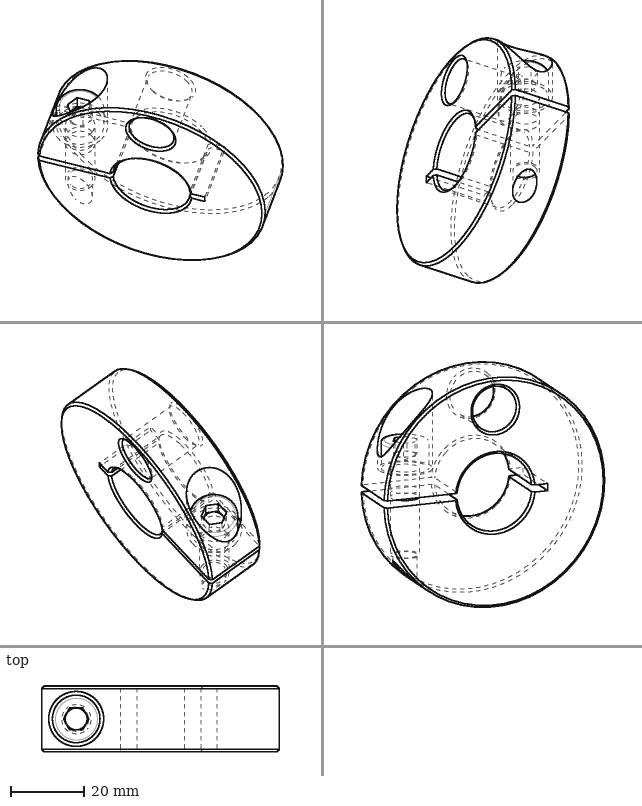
import cadquery as cq

collar_diameter = 65.0
collar_width = 18.0
bore_diameter = 22.0
edge_chamfer = 0.7

face_hole_diameter = 12.9
face_hole_height = 23.6

slit_width = 2.0
slit_end_x = 15.4

screw_x = -23.0
shank_diameter = 8.0
head_diameter = 13.0
head_height = 8.0
head_fillet = 0.8
head_top_z = 15.15
head_seat_z = head_top_z - head_height
shank_end_z = -17.4
counterbore_diameter = 15.0
pilot_diameter = 6.6

socket_across_flats = 6.0
socket_across_corners = socket_across_flats / 0.75 ** 0.5
socket_depth = 4.0
socket_cone_depth = 1.6


def cylinder_z(diameter, bottom_z, top_z):
    """Upright cylinder on the screw axis."""
    return (
        cq.Workplane("XY", origin=(screw_x, 0, bottom_z))
        .circle(diameter / 2)
        .extrude(top_z - bottom_z)
    )


def make_ring():
    """Chamfered ring with the bore and the round hole through its faces."""
    return (
        cq.Workplane("XZ", origin=(0, collar_width / 2, 0))
        .circle(collar_diameter / 2)
        .circle(bore_diameter / 2)
        .pushPoints([(0, face_hole_height)])
        .circle(face_hole_diameter / 2)
        .extrude(collar_width)
        .faces("<Y or >Y")
        .chamfer(edge_chamfer)
    )


def make_collar():
    """Ring cut by the slit and by the stepped screw hole."""
    slit_start_x = -collar_diameter / 2
    slit = cq.Workplane("XY").box(slit_end_x - slit_start_x, collar_width, slit_width)
    slit = slit.translate(((slit_start_x + slit_end_x) / 2, 0, 0))
    rim = collar_diameter / 2
    counterbore = cylinder_z(counterbore_diameter, head_seat_z, rim)
    shank_hole = cylinder_z(shank_diameter, shank_end_z, head_seat_z)
    pilot_hole = cylinder_z(pilot_diameter, -rim, shank_end_z)
    return make_ring().cut(slit).cut(counterbore).cut(shank_hole).cut(pilot_hole)


def make_socket():
    """Hexagonal recess in the screw head, ending in a cone."""
    floor_z = head_top_z - socket_depth
    hexagon = (
        cq.Workplane("XY", origin=(screw_x, 0, floor_z))
        .polygon(6, socket_across_corners)
        .extrude(socket_depth)
    )
    cone = cq.Workplane(
        cq.Solid.makeCone(
            socket_across_flats / 2,
            0,
            socket_cone_depth,
            pnt=cq.Vector(screw_x, 0, floor_z),
            dir=cq.Vector(0, 0, -1),
        )
    )
    return hexagon.union(cone)


def make_screw():
    """Socket head cap screw, head up."""
    head = cylinder_z(head_diameter, head_seat_z, head_top_z).faces(">Z").edges().fillet(head_fillet)
    shank = cylinder_z(shank_diameter, shank_end_z, head_seat_z)
    return head.union(shank).cut(make_socket())


collar = make_collar()
screw = make_screw()
result = cq.Compound.makeCompound([collar.solids().val(), screw.solids().val()])